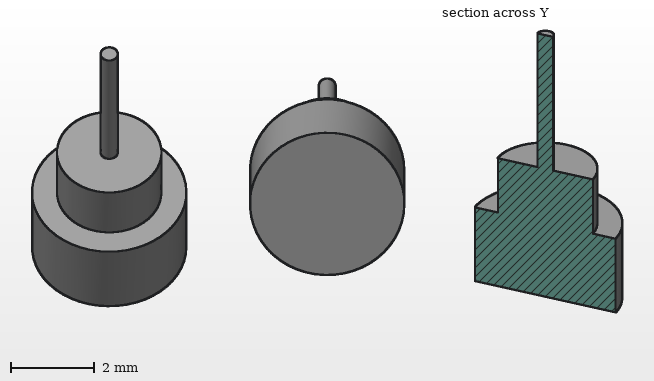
import cadquery as cq

total_height = 7.25
base_diameter = 3.7
base_height = 2.05
collar_diameter = 2.5
collar_top = 3.55
insert_diameter = 1.95
pin_diameter = 0.41


def cylinder(diameter, bottom, top):
    """Upright cylinder on the Z axis between two heights."""
    return cq.Workplane("XY").workplane(offset=bottom).circle(diameter / 2).extrude(top - bottom)


base = cylinder(base_diameter, 0, base_height)
collar = cylinder(collar_diameter, base_height, collar_top)
insert = cylinder(insert_diameter, base_height, collar_top)
pin = cylinder(pin_diameter, collar_top, total_height)

sleeve = collar.cut(insert)
result = base.union(sleeve, clean=False).union(insert, clean=False).union(pin, clean=False)